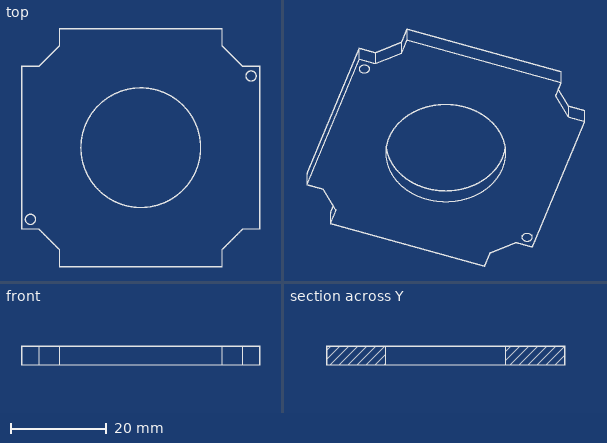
import cadquery as cq

plate_side = 49.8
plate_thickness = 4.0
half_side = plate_side / 2

notch_size = 7.85
notch_step = 3.6

bore_diameter = 25.0
pin_hole_diameter = 2.1
pin_hole_x = 23.05
pin_hole_y = 15.0


def corner_notch(x_side, y_side):
    """Cutter for the corner on the given sides (+1 or -1) of the plate."""
    outline = [
        (half_side, half_side),
        (half_side - notch_size, half_side),
        (half_side - notch_size, half_side - notch_step),
        (half_side - notch_step, half_side - notch_size),
        (half_side, half_side - notch_size),
    ]
    points = [(x_side * x, y_side * y) for x, y in outline]
    return cq.Workplane("XY").polyline(points).close().extrude(plate_thickness)


plate = cq.Workplane("XY").rect(plate_side, plate_side).extrude(plate_thickness)

for x_side in (-1, 1):
    for y_side in (-1, 1):
        plate = plate.cut(corner_notch(x_side, y_side))

plate = plate.faces(">Z").workplane(origin=(0, 0, plate_thickness)).hole(bore_diameter)

pin_hole_centres = [(pin_hole_x, pin_hole_y), (-pin_hole_x, -pin_hole_y)]
result = (
    plate.faces(">Z")
    .workplane(origin=(0, 0, plate_thickness))
    .pushPoints(pin_hole_centres)
    .hole(pin_hole_diameter)
)